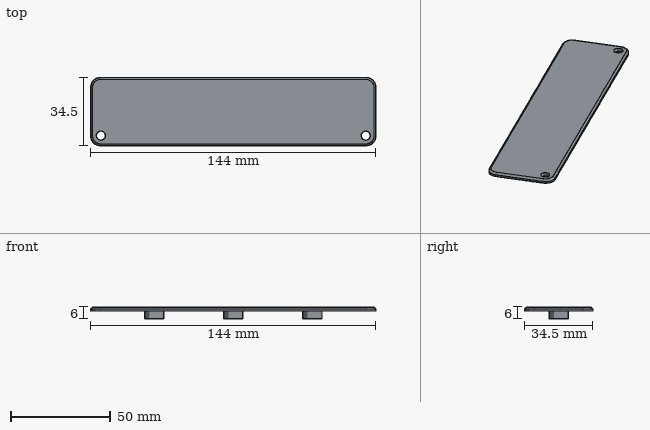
import cadquery as cq

length = 144.0
width = 34.5
thickness = 2.0
corner_radius = 5.0
top_chamfer = 1.0

hole_diameter = 4.5
hole_inset = 5.2

peg_diameter = 9.8
peg_height = 4.0
peg_spacing = 39.9
peg_edge_chamfer = 0.5


def make_plate():
    """Rounded plate with its underside at Z = 0 and a bevelled top edge."""
    plate = cq.Workplane("XY").box(length, width, thickness, centered=(True, True, False))
    plate = plate.edges("|Z").fillet(corner_radius)
    return plate.faces(">Z").edges().chamfer(top_chamfer)


def make_pegs():
    """Row of three pegs hanging from the underside, bevelled at the free end."""
    centers = [(step * peg_spacing, 0) for step in (-1, 0, 1)]
    pegs = cq.Workplane("XY").pushPoints(centers).circle(peg_diameter / 2).extrude(-peg_height)
    return pegs.faces("<Z").edges().chamfer(peg_edge_chamfer)


def make_holes():
    """Cutters for the two holes near the front corners."""
    hole_x = length / 2 - hole_inset
    hole_y = -width / 2 + hole_inset
    centers = [(-hole_x, hole_y), (hole_x, hole_y)]
    return cq.Workplane("XY").pushPoints(centers).circle(hole_diameter / 2).extrude(thickness)


result = make_plate().union(make_pegs()).cut(make_holes())